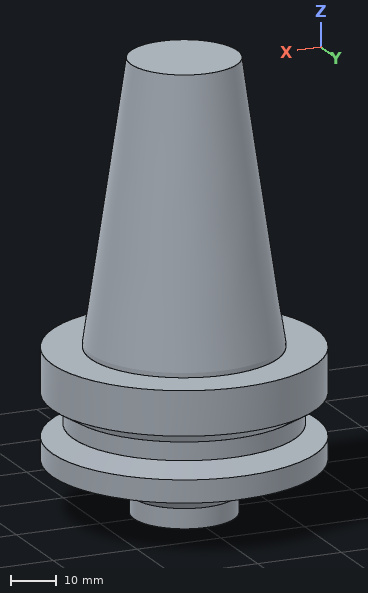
import cadquery as cq

nose_diameter = 24.0
nose_cone_diameter = 38.3
flange_diameter = 63.0
groove_diameter = 53.0
taper_large_diameter = 44.5
taper_small_diameter = 25.4

total_height = 104.4
nose_top = 4.7
flange_bottom = 12.2
groove_lower_edge = 17.5
groove_floor_bottom = 20.4
groove_floor_top = 24.6
groove_upper_edge = 27.6
flange_top = 38.0
taper_start = 39.0

profile_steps = [
    (nose_diameter, 0),
    (nose_diameter, nose_top),
    (nose_cone_diameter, flange_bottom),
    (flange_diameter, flange_bottom),
    (flange_diameter, groove_lower_edge),
    (groove_diameter, groove_floor_bottom),
    (groove_diameter, groove_floor_top),
    (flange_diameter, groove_upper_edge),
    (flange_diameter, flange_top),
    (taper_large_diameter, flange_top),
    (taper_large_diameter, taper_start),
    (taper_small_diameter, total_height),
]
outer_points = [(diameter / 2, height) for diameter, height in profile_steps]

result = (
    cq.Workplane("XZ")
    .polyline([(0, 0)] + outer_points + [(0, total_height)])
    .close()
    .revolve(360, (0, 0, 0), (0, 1, 0))
)